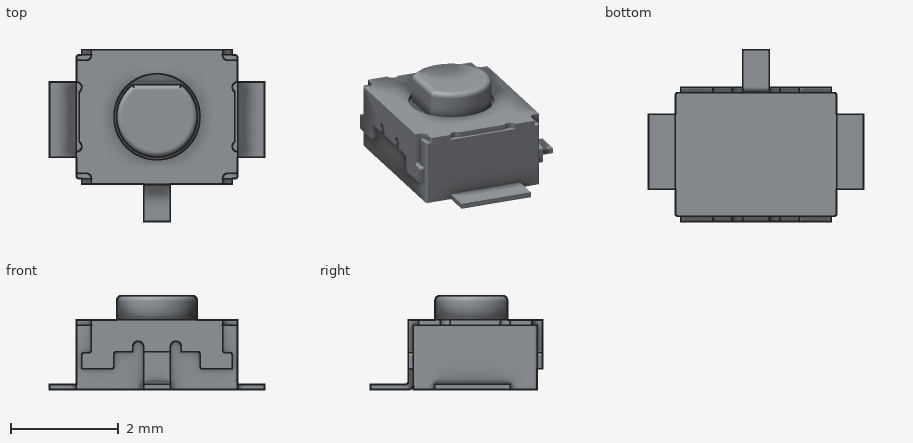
import cadquery as cq


sheet = 0.1

housing_length = 3.0
housing_depth = 2.3
housing_height = 1.2
housing_edge_radius = sheet / 2

cover_depth = housing_depth + 2 * sheet
cover_top = housing_height + sheet
button_hole_diameter = 1.6
corner_notch_radius = 0.1
corner_notch_depth = 0.1
plate_corner_radius = 0.03
side_notch_radius = 0.1
side_notch_spacing = 1.1
side_recess = sheet / 2

skirt_half_length = 1.22
ear_half_length = 1.4
ear_bottom = 0.39
ear_top = 0.69
step_half_length = 0.8
step_height = 0.71
skirt_corner_radius = sheet / 2
slot_width = 0.2
slot_top = 0.9

leg_width = 0.5
leg_reach = 0.7
inner_bend_radius = sheet / 2
outer_bend_radius = sheet

overall_length = 4.0
lead_length = (overall_length - housing_length) / 2
lead_width = 1.4
lead_offset = -0.05

button_diameter = 1.5
button_top = 1.75
button_flat_offset = 0.6
button_edge_radius = 0.1


def make_housing():
    block = cq.Workplane("XY").box(housing_length, housing_depth, housing_height, centered=(True, True, False))
    return block.edges("|Z").fillet(housing_edge_radius)


def make_cover_plate():
    """Flat top with its button hole, notched corners and relieved short sides."""
    inner_y = housing_depth / 2 - corner_notch_depth
    wings = (
        cq.Workplane("XY")
        .workplane(offset=housing_height)
        .rect(housing_length, 2 * inner_y)
        .extrude(sheet)
        .edges("|Z")
        .fillet(plate_corner_radius)
    )
    middle = (
        cq.Workplane("XY")
        .workplane(offset=housing_height)
        .rect(2 * skirt_half_length, cover_depth)
        .extrude(sheet)
    )
    plate = wings.union(middle)

    for side_x in (-1, 1):
        for side_y in (-1, 1):
            corner = (side_x * skirt_half_length, side_y * inner_y, housing_height + sheet / 2)
            plate = plate.edges(cq.selectors.NearestToPointSelector(corner)).fillet(corner_notch_radius)

    button_hole = (
        cq.Workplane("XY").workplane(offset=housing_height).circle(button_hole_diameter / 2).extrude(sheet)
    )
    plate = plate.cut(button_hole)

    for side_x in (-1, 1):
        edge_x = side_x * housing_length / 2
        recess = (
            cq.Workplane("XY")
            .workplane(offset=housing_height)
            .center(edge_x, 0)
            .rect(2 * side_recess, side_notch_spacing)
            .extrude(sheet)
        )
        notches = (
            cq.Workplane("XY")
            .workplane(offset=housing_height)
            .pushPoints([(edge_x, -side_notch_spacing / 2), (edge_x, side_notch_spacing / 2)])
            .circle(side_notch_radius)
            .extrude(sheet)
        )
        plate = plate.cut(recess).cut(notches)
    return plate


def make_front_skirt():
    """Front wall of the cover: two ears around a raised step with two slots."""
    wall_outline = [
        (-skirt_half_length, cover_top),
        (-skirt_half_length, ear_top),
        (-ear_half_length, ear_top),
        (-ear_half_length, ear_bottom),
        (-step_half_length, ear_bottom),
        (-step_half_length, step_height),
        (step_half_length, step_height),
        (step_half_length, ear_bottom),
        (ear_half_length, ear_bottom),
        (ear_half_length, ear_top),
        (skirt_half_length, ear_top),
        (skirt_half_length, cover_top),
    ]
    rounded_corners = [
        (skirt_half_length, ear_top),
        (ear_half_length, ear_top),
        (step_half_length, ear_bottom),
        (step_half_length, step_height),
    ]
    housing_front = cq.Workplane("XZ", origin=(0, -housing_depth / 2, 0))
    skirt = housing_front.polyline(wall_outline).close().extrude(sheet)
    mid_y = -(housing_depth + sheet) / 2
    for side_x in (-1, 1):
        for corner_x, corner_z in rounded_corners:
            corner = (side_x * corner_x, mid_y, corner_z)
            skirt = skirt.edges(cq.selectors.NearestToPointSelector(corner)).fillet(skirt_corner_radius)

    slot_radius = slot_width / 2
    for side_x in (-1, 1):
        slot = (
            housing_front.center(side_x * (leg_width + slot_width) / 2, 0)
            .moveTo(-slot_radius, ear_bottom)
            .lineTo(-slot_radius, slot_top - slot_radius)
            .threePointArc((0, slot_top), (slot_radius, slot_top - slot_radius))
            .lineTo(slot_radius, ear_bottom)
            .close()
            .extrude(sheet)
        )
        skirt = skirt.cut(slot)
    return skirt


def make_cover():
    front_skirt = make_front_skirt()
    back_skirt = front_skirt.mirror("XZ")
    return make_cover_plate().union(front_skirt).union(back_skirt)


def make_ground_leg():
    """L-shaped leg that continues the front skirt down and out to a foot."""
    inner_y = -housing_depth / 2
    outer_y = inner_y - sheet
    foot_y = outer_y - leg_reach
    leg_outline = [
        (inner_y, step_height),
        (inner_y, 0),
        (foot_y, 0),
        (foot_y, sheet),
        (outer_y, sheet),
        (outer_y, step_height),
    ]
    leg = cq.Workplane("YZ").polyline(leg_outline).close().extrude(leg_width / 2, both=True)
    heel = (0, inner_y, 0)
    instep = (0, outer_y, sheet)
    leg = leg.edges(cq.selectors.NearestToPointSelector(heel)).fillet(outer_bend_radius)
    return leg.edges(cq.selectors.NearestToPointSelector(instep)).fillet(inner_bend_radius)


def make_lead(side_x):
    center_x = side_x * (housing_length + lead_length) / 2
    return cq.Workplane("XY").center(center_x, lead_offset).rect(lead_length, lead_width).extrude(sheet)


def make_button():
    """Round button with one flat at the back, standing on the housing."""
    button = (
        cq.Workplane("XY")
        .workplane(offset=housing_height)
        .circle(button_diameter / 2)
        .extrude(button_top - housing_height)
    )
    keep_depth = button_flat_offset + button_diameter / 2
    keep = (
        cq.Workplane("XY")
        .workplane(offset=housing_height)
        .center(0, button_flat_offset - keep_depth / 2)
        .rect(button_diameter, keep_depth)
        .extrude(button_top - housing_height)
    )
    return button.intersect(keep).faces(">Z").edges().fillet(button_edge_radius)


housing = make_housing()
cover = make_cover()
ground_leg = make_ground_leg()
button = make_button()
leads = [make_lead(side_x) for side_x in (-1, 1)]

result = cq.Compound.makeCompound(
    [housing.val(), cover.val(), ground_leg.val(), button.val(), *[lead.val() for lead in leads]]
)